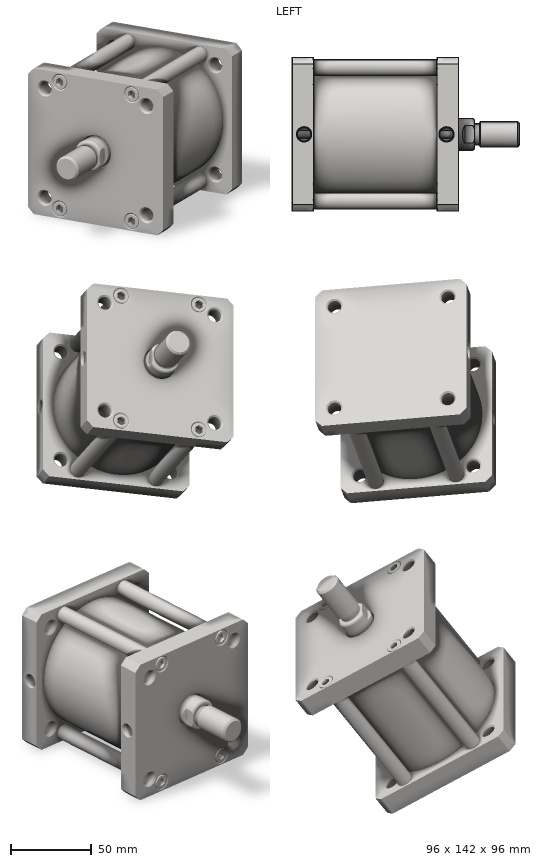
import cadquery as cq
import math


plate_side = 96.0
plate_round_diameter = 130.0
plate_thickness = 13.3
overall_length = 142.0
rod_reach = 38.0
back_y = overall_length - rod_reach
tube_front_y = plate_thickness
tube_back_y = back_y - plate_thickness

mount_spacing = 72.0
mount_offset = mount_spacing / 2
mount_diameter = 8.5
mount_mouth_diameter = 10.5

port_setback = 7.5
port_diameter = 8.4
port_mouth_diameter = 9.5
port_depth = 19.9
port_tip_angle = 118.0
port_bar_diameter = 5.0

tube_outer_diameter = 83.9
tube_bore_diameter = 80.0
tube_back_chamfer = 0.3

tie_spacing_x = 51.0
tie_x = tie_spacing_x / 2
tie_z = 41.7
tie_diameter = 10.0
tie_head_diameter = 9.4
tie_shoulder_chamfer = (tie_diameter - tie_head_diameter) / 2
tie_end_chamfer = 0.3
tie_mouth_chamfer = 0.9
socket_across_flats = 5.1
socket_across_corners = socket_across_flats / math.cos(math.pi / 6)
socket_turn = 30.0
socket_depth = 5.0
socket_tip_depth = 1.4

rod_diameter = 20.0
rod_bore_diameter = 21.0
rod_bore_mouth_diameter = 21.9
rod_shoulder_fillet = 1.8
thread_diameter = 15.9
neck_diameter = 13.5
tip_chamfer = (thread_diameter - neck_diameter) / 2
thread_length = 25.0
thread_back_chamfer = 0.5
shoulder_distance = 28.0
flats_width = 16.8
flats_length = 6.1


def y_cylinder(diameter, y_start, y_end, x=0.0, z=0.0):
    """Cylinder along Y between two Y positions."""
    axis_start = cq.Vector(x, y_start, z)
    return cq.Workplane(cq.Solid.makeCylinder(diameter / 2, y_end - y_start, axis_start, cq.Vector(0, 1, 0)))


def y_cone(start_diameter, end_diameter, y_start, y_end, x=0.0, z=0.0):
    """Cone frustum along Y between two Y positions."""
    axis_start = cq.Vector(x, y_start, z)
    return cq.Workplane(
        cq.Solid.makeCone(
            start_diameter / 2, end_diameter / 2, y_end - y_start, axis_start, cq.Vector(0, 1, 0)
        )
    )


def corner_points(x, z):
    """The four points at (+-x, +-z)."""
    return [(side * x, level * z) for side in (-1, 1) for level in (-1, 1)]


def mount_hole(x, z, y_start, y_end):
    """Through hole with a 45-degree chamfer at both mouths."""
    chamfer = (mount_mouth_diameter - mount_diameter) / 2
    hole = y_cylinder(mount_diameter, y_start, y_end, x, z)
    front_mouth = y_cone(mount_mouth_diameter, mount_diameter, y_start, y_start + chamfer, x, z)
    back_mouth = y_cone(mount_diameter, mount_mouth_diameter, y_end - chamfer, y_end, x, z)
    return hole.union(front_mouth).union(back_mouth)


def port_hole(y):
    """Blind port from the -X side with a chamfered mouth and a drill tip, less the bar that crosses it."""
    radius = port_diameter / 2
    mouth_radius = port_mouth_diameter / 2
    tip_length = radius / math.tan(math.radians(port_tip_angle / 2))
    profile = [
        (0, 0),
        (0, mouth_radius),
        (mouth_radius - radius, radius),
        (port_depth, radius),
        (port_depth + tip_length, 0),
    ]
    hole = (
        cq.Workplane("XY")
        .polyline(profile)
        .close()
        .revolve(360, (0, 0, 0), (1, 0, 0))
        .translate((-plate_side / 2, y, 0))
    )
    bar_x = -plate_side / 2 + port_depth - port_bar_diameter / 2
    bar = y_cylinder(port_bar_diameter, y - port_diameter, y + port_diameter, bar_x)
    return hole.cut(bar)


def plate_blank(y_start, port_y):
    """Square plate with turned corners, four mounting holes and a side port."""
    y_end = y_start + plate_thickness
    plate = cq.Workplane("XY").box(plate_side, plate_thickness, plate_side)
    plate = plate.translate((0, (y_start + y_end) / 2, 0))
    plate = plate.intersect(y_cylinder(plate_round_diameter, y_start, y_end))
    for x, z in corner_points(mount_offset, mount_offset):
        plate = plate.cut(mount_hole(x, z, y_start, y_end))
    return plate.cut(port_hole(port_y))


def make_front_plate():
    """Front plate with the rod bore and the tie-rod holes."""
    plate = plate_blank(0, port_setback)
    bore_chamfer = (rod_bore_mouth_diameter - rod_bore_diameter) / 2
    plate = plate.cut(y_cylinder(rod_bore_diameter, 0, plate_thickness))
    plate = plate.cut(y_cone(rod_bore_mouth_diameter, rod_bore_diameter, 0, bore_chamfer))
    tie_mouth_diameter = tie_head_diameter + 2 * tie_mouth_chamfer
    for x, z in corner_points(tie_x, tie_z):
        plate = plate.cut(y_cylinder(tie_head_diameter, 0, plate_thickness, x, z))
        plate = plate.cut(y_cone(tie_mouth_diameter, tie_head_diameter, 0, tie_mouth_chamfer, x, z))
    return plate


def make_back_plate():
    """Back plate, closed behind the tube."""
    return plate_blank(tube_back_y, back_y - port_setback)


def make_tube():
    """Tube clamped between the plates, its outer edge broken at the back end."""
    tube = y_cylinder(tube_outer_diameter, tube_front_y, tube_back_y)
    tube = tube.faces(">Y").chamfer(tube_back_chamfer)
    return tube.cut(y_cylinder(tube_bore_diameter, tube_front_y, tube_back_y))


def make_tie_rod(x, z):
    """Tie rod between the plates, with a reduced hex-socket end that passes through the front plate."""
    shank = y_cylinder(tie_diameter, tube_front_y, tube_back_y, x, z)
    shank = shank.faces("<Y or >Y").chamfer(tie_shoulder_chamfer)
    head = y_cylinder(tie_head_diameter, 0, tube_front_y, x, z)
    head = head.faces("<Y").chamfer(tie_end_chamfer)
    socket = (
        cq.Workplane("XZ")
        .polygon(6, socket_across_corners)
        .extrude(-socket_depth)
        .rotate((0, 0, 0), (0, 1, 0), socket_turn)
        .translate((x, 0, z))
    )
    socket_tip = y_cone(socket_across_flats, 0, socket_depth, socket_depth + socket_tip_depth, x, z)
    return shank.union(head).cut(socket).cut(socket_tip)


def wrench_flat(shoulder_y):
    """Material removed for the +X wrench flat; its back end slopes out at 45 degrees."""
    flat_x = flats_width / 2
    outside_x = rod_diameter
    flat_end_y = shoulder_y + flats_length
    outline = [
        (flat_x, shoulder_y),
        (outside_x, shoulder_y),
        (outside_x, flat_end_y + outside_x - flat_x),
        (flat_x, flat_end_y),
    ]
    return cq.Workplane("XY").polyline(outline).close().extrude(rod_diameter, both=True)


def make_piston_rod():
    """Stepped rod: threaded end, neck, and a body with two wrench flats that reaches the back plate."""
    tip_y = -rod_reach
    thread_end_y = tip_y + thread_length
    shoulder_y = tip_y + shoulder_distance
    body = y_cylinder(rod_diameter, shoulder_y, tube_back_y)
    body = body.faces("<Y").edges().fillet(rod_shoulder_fillet)
    flat = wrench_flat(shoulder_y)
    body = body.cut(flat).cut(flat.mirror("YZ"))
    neck = y_cylinder(neck_diameter, thread_end_y, shoulder_y)
    thread = y_cylinder(thread_diameter, tip_y, thread_end_y)
    thread = thread.faces("<Y").chamfer(tip_chamfer)
    thread = thread.faces(">Y").edges().chamfer(thread_back_chamfer, tip_chamfer)
    return body.union(neck).union(thread)


front_plate = make_front_plate()
back_plate = make_back_plate()
tube = make_tube()
piston_rod = make_piston_rod()
tie_rods = [make_tie_rod(x, z) for x, z in corner_points(tie_x, tie_z)]

result = cq.Compound.makeCompound(
    [
        front_plate.val(),
        back_plate.val(),
        tube.val(),
        piston_rod.val(),
        *[tie_rod.val() for tie_rod in tie_rods],
    ]
)